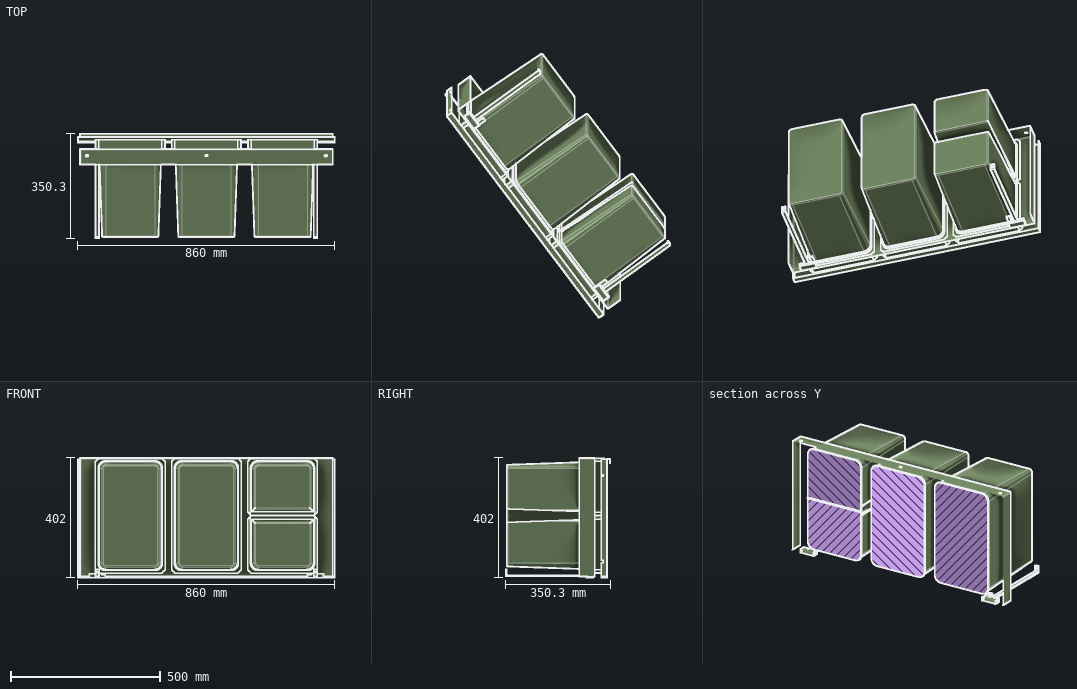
import cadquery as cq

width = 860.0
depth = 350.3
height = 402.0
sheet = 1.0
bend = 2.5

panel_thickness = 2.0
hook_reach = 10.0
hook_drop = 15.0
hook_top = 398.5
flange_depth = 20.5
base_thickness = 5.0
base_slope = 4.5
corner_chamfer = 2.5
notch_depth = 7.0
notches = ((50.0, 9.0), (340.0, 5.5))

frame_width = 847.0
frame_rear = -41.5
frame_front = -94.0
frame_bottom = 4.5
slot_length = 8.0
slot_width = 5.0
slot_spacing = 400.0
slot_y = -64.0

bin_pitch = 255.0
rim_rear = -10.5
rim_front = frame_rear - sheet
rim_width = 233.0
rim_bottom = 16.0
rim_top = height - sheet
rim_chamfer = 11.0
split_gap = 2.0
neck_inset = 9.0
neck_length = 8.0
neck_radius = 25.0
body_step = 3.0
split_inset = 11.5
split_radius = 5.0
body_front = -336.5
body_radius = 22.5
body_taper = 2.0
body_end_fillet = 4.0

rail_spacing = 731.0
rail_width = 13.0
rail_bottom = 5.5
rail_thickness = 4.0
lip_height = 24.0
lip_thickness = 4.0
lip_hole_diameter = 5.0
lip_hole_level = 20.0
bracket_width = 54.0
bracket_rear = -46.0
bracket_front = -70.0
bracket_top = 13.5
bracket_bottom = 1.0
bracket_thickness = 3.5
arm_width = 12.0
arm_front = frame_front


def block(x0, x1, y0, y1, z0, z1):
    """Box given by its limits along each axis."""
    return cq.Workplane("XY").box(x1 - x0, y1 - y0, z1 - z0, centered=False).translate((x0, y0, z0))


def make_panel():
    half = width / 2
    side_top = hook_top - sheet
    flange_front = -flange_depth
    panel = block(-half, half, -panel_thickness, 0, 0, side_top)
    base = block(-half + sheet, half - sheet, flange_front, 0, 0, base_thickness)
    base = base.edges("|X and <Y and >Z").chamfer(base_slope)
    panel = panel.union(base)

    for side in (-1, 1):
        inner, outer = sorted((side * (half - sheet), side * half))
        flange = block(inner, outer, flange_front, 0, 0, side_top)
        flange = flange.edges("|X and <Y and >Z").chamfer(corner_chamfer)
        notch_rear = flange_front + notch_depth
        for level, notch_height in notches:
            flange = flange.cut(block(inner, outer, flange_front, notch_rear, level, level + notch_height))
        panel = panel.union(flange)
    panel = panel.edges("|Z and >Y").fillet(bend)

    half_hook = frame_width / 2
    hook_inside = hook_reach - sheet
    hook = block(-half_hook, half_hook, -panel_thickness, hook_reach, hook_top - hook_drop, hook_top)
    hook = hook.edges("|X and >Y and >Z").fillet(bend)
    hollow = block(-half_hook, half_hook, -panel_thickness, hook_inside, hook_top - hook_drop, side_top)
    hollow = hollow.edges("|X and >Y and >Z").fillet(bend - sheet)
    return panel.union(hook.cut(hollow))


def make_frame(rims):
    half = frame_width / 2
    frame = block(-half, half, frame_front, frame_rear, frame_bottom, height)
    frame = frame.edges("(|Y and >Z) or (>Y and (not <Z))").fillet(bend)
    plate_front = frame_rear - sheet
    hollow = block(-half + sheet, half - sheet, frame_front, plate_front, frame_bottom, height - sheet)
    hollow = hollow.edges("(|Y and >Z) or (>Y and (not <Z))").fillet(bend - sheet)
    slots = (
        cq.Workplane("XY", origin=(0, slot_y, height - sheet))
        .pushPoints([(-slot_spacing, 0), (0, 0), (slot_spacing, 0)])
        .slot2D(slot_length, slot_width)
        .extrude(sheet)
    )
    frame = frame.cut(hollow).cut(slots)
    for rim in rims:
        frame = frame.cut(rim)
    return frame


def tier(x_center, z0, z1, width_x, rear, radii, length, taper=0.0):
    """Prism running toward -Y; radii are those of its lower and upper pairs of corners."""
    low, high = radii
    x0, x1 = x_center - width_x / 2, x_center + width_x / 2
    outline = cq.Sketch().polygon([(x0, z0), (x1, z0), (x1, z1), (x0, z1), (x0, z0)])
    if low:
        outline = outline.vertices("<Y").fillet(low).reset()
    if high:
        outline = outline.vertices(">Y").fillet(high).reset()
    return cq.Workplane("XZ", origin=(0, rear, 0)).placeSketch(outline).extrude(length, taper=taper)


def make_rim(x_center, z0, z1):
    rim = block(x_center - rim_width / 2, x_center + rim_width / 2, rim_front, rim_rear, z0, z1)
    return rim.edges("|Y").chamfer(rim_chamfer)


def make_bin(x_center, z0, z1, split_below=False, split_above=False):
    """Bin whose rim spans z0 to z1; a split side faces the neighbouring small bin."""
    rim = make_rim(x_center, z0, z1)

    neck_radii = (0 if split_below else neck_radius, 0 if split_above else neck_radius)
    neck_z0 = z0 + (0 if split_below else neck_inset)
    neck_z1 = z1 - (0 if split_above else neck_inset)
    neck_width = rim_width - 2 * neck_inset
    neck = tier(x_center, neck_z0, neck_z1, neck_width, rim_front, neck_radii, neck_length)

    body_radii = (split_radius if split_below else body_radius, split_radius if split_above else body_radius)
    body_z0 = neck_z0 + (split_inset if split_below else body_step)
    body_z1 = neck_z1 - (split_inset if split_above else body_step)
    body_width = neck_width - 2 * body_step
    body_rear = rim_front - neck_length
    body = tier(
        x_center, body_z0, body_z1, body_width, body_rear, body_radii, body_rear - body_front, body_taper
    )
    body = body.faces("<Y").edges().fillet(body_end_fillet)
    return rim.union(neck).union(body)


def make_rail(side):
    x0 = side * rail_spacing / 2 - rail_width / 2
    x1 = x0 + rail_width
    front = hook_reach - depth
    rail = block(x0, x1, front, bracket_front, rail_bottom, rail_bottom + rail_thickness)
    lip = block(x0, x1, front, front + lip_thickness, rail_bottom, rail_bottom + lip_height)
    hole = (
        cq.Workplane("XZ", origin=(side * rail_spacing / 2, front + lip_thickness, lip_hole_level))
        .circle(lip_hole_diameter / 2)
        .extrude(lip_thickness)
    )
    return rail.union(lip).cut(hole)


def make_bracket(side):
    center = side * rail_spacing / 2
    x0, x1 = center - bracket_width / 2, center + bracket_width / 2
    underside = bracket_top - bracket_thickness
    leg_rear = bracket_front + bracket_thickness
    top_plate = block(x0, x1, bracket_front, bracket_rear, underside, bracket_top)
    front_leg = block(x0, x1, bracket_front, leg_rear, bracket_bottom, bracket_top)
    foot = block(x0, x1, bracket_front, bracket_rear, bracket_bottom, bracket_bottom + bracket_thickness)
    arm_x0 = x1 - arm_width if side < 0 else x0
    arm = block(arm_x0, arm_x0 + arm_width, arm_front, bracket_front, underside, bracket_top)
    return top_plate.union(front_leg).union(foot).union(arm)


split_level = (rim_bottom + rim_top) / 2
large_rims = [(x, rim_bottom, rim_top) for x in (-bin_pitch, 0)]
lower_rim = (bin_pitch, rim_bottom, split_level - split_gap / 2)
upper_rim = (bin_pitch, split_level + split_gap / 2, rim_top)

panel = make_panel()
frame = make_frame([make_rim(*limits) for limits in (*large_rims, lower_rim, upper_rim)])
large_bins = [make_bin(*limits) for limits in large_rims]
small_bins = [make_bin(*lower_rim, split_above=True), make_bin(*upper_rim, split_below=True)]

sides = (-1, 1)
rails = [make_rail(side) for side in sides]
brackets = [make_bracket(side) for side in sides]

bodies = [panel, frame, *large_bins, *small_bins, *rails, *brackets]
result = cq.Compound.makeCompound([body.val() for body in bodies])